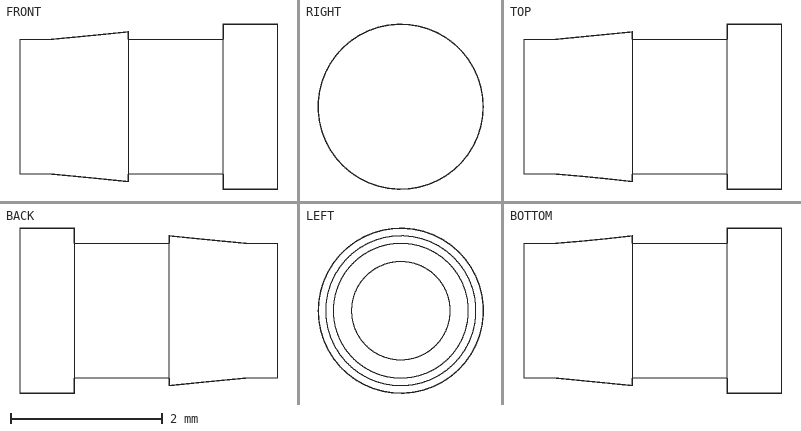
import cadquery as cq
import math

total_length = 3.4
flange_diameter = 2.18
flange_thickness = 0.72

body_diameter = 1.78
barb_diameter = 1.98
barb_start = 0.41
barb_end = 1.43

bore_diameter = 1.3
bore_depth = 2.4
drill_point_angle = 118.0

body_radius = body_diameter / 2
barb_radius = barb_diameter / 2
flange_radius = flange_diameter / 2
bore_radius = bore_diameter / 2
flange_start = total_length - flange_thickness
drill_point_length = bore_radius / math.tan(math.radians(drill_point_angle / 2))


def revolve_about_x(profile):
    """Turn a closed (X, radius) profile fully around the X axis."""
    return profile.revolve(360, (0, 0, 0), (1, 0, 0))


def make_pin():
    """Solid of the tip, conical barb, shank and end flange."""
    profile = (
        cq.Workplane("XY")
        .lineTo(0, body_radius)
        .lineTo(barb_start, body_radius)
        .lineTo(barb_end, barb_radius)
        .lineTo(barb_end, body_radius)
        .lineTo(flange_start, body_radius)
        .lineTo(flange_start, flange_radius)
        .lineTo(total_length, flange_radius)
        .lineTo(total_length, 0)
        .close()
    )
    return revolve_about_x(profile)


def make_bore():
    """Cylindrical bore from the tip, ending in a cone."""
    profile = (
        cq.Workplane("XY")
        .lineTo(0, bore_radius)
        .lineTo(bore_depth, bore_radius)
        .lineTo(bore_depth + drill_point_length, 0)
        .close()
    )
    return revolve_about_x(profile)


result = make_pin().cut(make_bore())